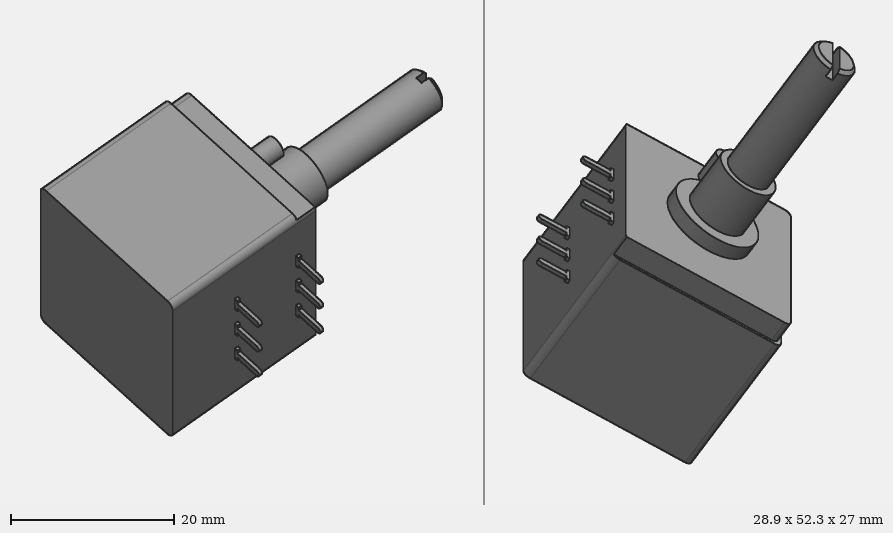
import cadquery as cq

total_length = 52.3
shaft_length = 20.0
bushing_length = 7.0
flange_length = 2.0
plate_length = 3.0
body_length = total_length - shaft_length - bushing_length - flange_length - plate_length

plate_width = 24.0
plate_height = 26.0
body_height = 27.0
body_overhang = 0.45
corner_radius = 1.0

shaft_diameter = 6.0
shaft_chamfer = 0.45
bushing_diameter = 8.0
flange_diameter = 12.0
slot_width = 1.0
slot_depth = 1.6

locating_pin_diameter = 3.0
locating_pin_length = 4.05
locating_pin_offset = 10.0

terminal_length = 4.5
terminal_thickness = 0.5
terminal_width = 1.0
terminal_tip_radius = 0.45
shoulder_length = 0.45
shoulder_width = 2.05
terminal_pitch = 5.0
terminal_row_spacing = 10.0
terminal_embed = 0.5

plate_start = body_length
flange_start = plate_start + plate_length
bushing_start = flange_start + flange_length
shaft_start = bushing_start + bushing_length
side_x = plate_width / 2


def block(width, height, start, length, center_x):
    """Plain block along +Y, centred on Z = 0."""
    return cq.Workplane("XY").box(width, length, height).translate((center_x, start + length / 2, 0))


def body_block(start, length):
    """Stretch of the body outline with four rounded lengthwise edges."""
    width = plate_width + body_overhang
    return block(width, body_height, start, length, -body_overhang / 2).edges("|Y").fillet(corner_radius)


def front_plate():
    """Plate rounded on the -X side and trimmed to the body outline on the +X side."""
    plate = block(plate_width, plate_height, plate_start, plate_length, 0)
    plate = plate.edges("|Y and <X").fillet(corner_radius)
    return plate.intersect(body_block(plate_start, plate_length))


def cylinder(diameter, start, length, center_z=0):
    """Cylinder along +Y, centred at X = 0."""
    disc = cq.Workplane("XZ", origin=(0, start, center_z)).circle(diameter / 2)
    return disc.extrude(-length)


def slotted_shaft():
    """Shaft with a chamfered end and a screwdriver slot across Z."""
    shaft = cylinder(shaft_diameter, shaft_start, shaft_length)
    shaft = shaft.faces(">Y").chamfer(shaft_chamfer)
    slot = cq.Workplane("XY").box(slot_width, slot_depth, shaft_diameter)
    return shaft.cut(slot.translate((0, total_length - slot_depth / 2, 0)))


def terminal_strip(length, width):
    """Flat strip along +X that starts inside the housing and stands out by the given length."""
    strip_length = terminal_embed + length
    strip = cq.Workplane("XY").box(strip_length, terminal_thickness, width, centered=(False, True, True))
    return strip.translate((side_x - terminal_embed, 0, 0))


def terminal(center_y, center_z):
    """Round-tipped terminal with a wide shoulder at the housing."""
    blade = terminal_strip(terminal_length, terminal_width)
    blade = blade.faces(">X").edges("|Y").fillet(terminal_tip_radius)
    shoulder = terminal_strip(shoulder_length, shoulder_width)
    return blade.union(shoulder).translate((0, center_y, center_z))


result = body_block(0, body_length).union(front_plate())

result = result.union(cylinder(flange_diameter, flange_start, flange_length))
result = result.union(cylinder(bushing_diameter, bushing_start, bushing_length))
result = result.union(slotted_shaft())
result = result.union(
    cylinder(locating_pin_diameter, flange_start, locating_pin_length, locating_pin_offset)
)

for row_y in (plate_start, plate_start - terminal_row_spacing):
    for step in (-1, 0, 1):
        result = result.union(terminal(row_y, step * terminal_pitch))